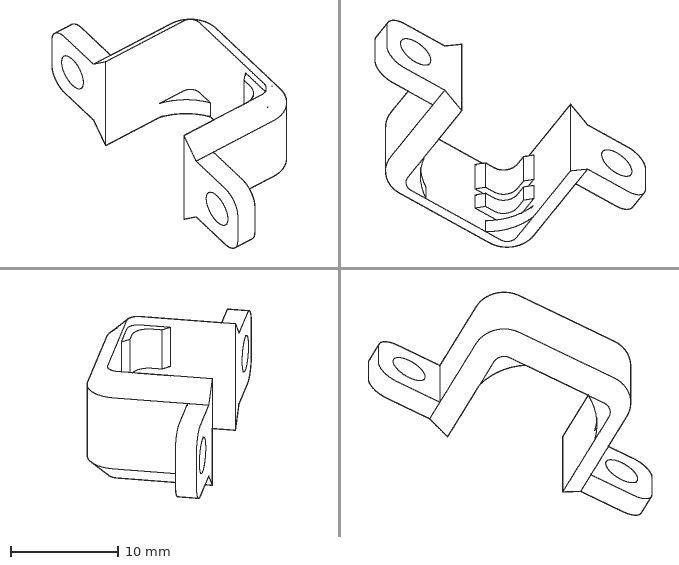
import cadquery as cq

length = 29.0
depth = 12.0
height = 11.0

wall = 1.9
bracket_width = 16.0
inner_half = bracket_width / 2 - wall
inner_back = depth - wall
outer_radius = 3.0
inner_radius = outer_radius - wall

tab_height = 7.3
tab_thickness = 2.0
tab_radius = 2.0
hole_diameter = 3.4
hole_spacing = 22.53
bevel_height = (height - tab_height) / 2

pad_reach = 3.95
pad_thickness = 0.7
pad_radius = 1.6
pad_spans = [(0.58, 4.6), (-2.58, -0.4)]

seat_radius = 6.25
seat_center_y = 4.78
bottom = -height / 2


def rounded_u_block(half_width, back, radius, z_height):
    """Block from Y = 0 to the back face, with both rear vertical edges rounded."""
    return (
        cq.Workplane("XY")
        .box(2 * half_width, back, z_height, centered=(True, False, True))
        .edges("|Z and >Y")
        .fillet(radius)
    )


def make_bracket():
    """U-shaped wall whose outside slopes away to a sharp inner rim, top and bottom."""
    core = rounded_u_block(bracket_width / 2, depth, outer_radius, tab_height)

    def bevel(direction):
        start = direction * tab_height / 2
        wide = u_outline(bracket_width / 2, depth, outer_radius, start)
        narrow = u_outline(inner_half, inner_back, inner_radius, direction * height / 2)
        return cq.Workplane(obj=cq.Solid.makeLoft([wide, narrow], True))

    cavity = rounded_u_block(inner_half, inner_back, inner_radius, height)
    return core.union(bevel(1)).union(bevel(-1)).cut(cavity)


def u_outline(half_width, back, radius, z):
    """Closed outline of the U block at height z."""
    return (
        cq.Workplane("XY", origin=(0, 0, z))
        .moveTo(-half_width, 0)
        .lineTo(half_width, 0)
        .lineTo(half_width, back - radius)
        .radiusArc((half_width - radius, back), -radius)
        .lineTo(-half_width + radius, back)
        .radiusArc((-half_width, back - radius), -radius)
        .close()
        .val()
    )


def make_tabs():
    """Pair of drilled mounting tabs, flush with the open side of the bracket."""
    plate = (
        cq.Workplane("XY")
        .box(length, tab_thickness, tab_height, centered=(True, False, True))
        .edges("|Y")
        .fillet(tab_radius)
    )
    gap = cq.Workplane("XY").box(2 * inner_half, 2 * tab_thickness, height)
    holes = (
        cq.Workplane("XZ")
        .pushPoints([(-hole_spacing / 2, 0), (hole_spacing / 2, 0)])
        .circle(hole_diameter / 2)
        .extrude(-tab_thickness)
    )
    return plate.cut(gap).cut(holes)


def make_pad(z_low, z_high):
    """L-shaped pad with a rounded hollow and 45 degree ends."""
    face_x = inner_half - pad_thickness
    face_y = inner_back - pad_thickness
    start_x = inner_half - pad_reach
    start_y = inner_back - pad_reach
    buried = wall / 2
    return (
        cq.Workplane("XY", origin=(0, 0, z_low))
        .moveTo(start_x, inner_back)
        .lineTo(start_x + pad_thickness, face_y)
        .lineTo(face_x - pad_radius, face_y)
        .radiusArc((face_x, face_y - pad_radius), pad_radius)
        .lineTo(face_x, start_y + pad_thickness)
        .lineTo(inner_half, start_y)
        .lineTo(inner_half, inner_back - inner_radius)
        .lineTo(inner_half + buried, inner_back - inner_radius)
        .lineTo(inner_half - inner_radius, inner_back + buried)
        .lineTo(inner_half - inner_radius, inner_back)
        .close()
        .extrude(z_high - z_low)
    )


def make_seat():
    """Fill of the inner corners at the bottom, hollowed by a round bore."""
    fill = (
        rounded_u_block(inner_half, inner_back, inner_radius, bevel_height)
        .translate((0, 0, bottom + bevel_height / 2))
    )
    bore = (
        cq.Workplane("XY", origin=(0, seat_center_y, bottom))
        .circle(seat_radius)
        .extrude(bevel_height)
    )
    front_clearance = (
        cq.Workplane("XY", origin=(0, 0, bottom))
        .rect(2 * inner_half, 2 * seat_center_y)
        .extrude(bevel_height)
    )
    return fill.cut(bore).cut(front_clearance)


result = make_bracket().union(make_tabs()).union(make_seat())
for z_low, z_high in pad_spans:
    result = result.union(make_pad(z_low, z_high))